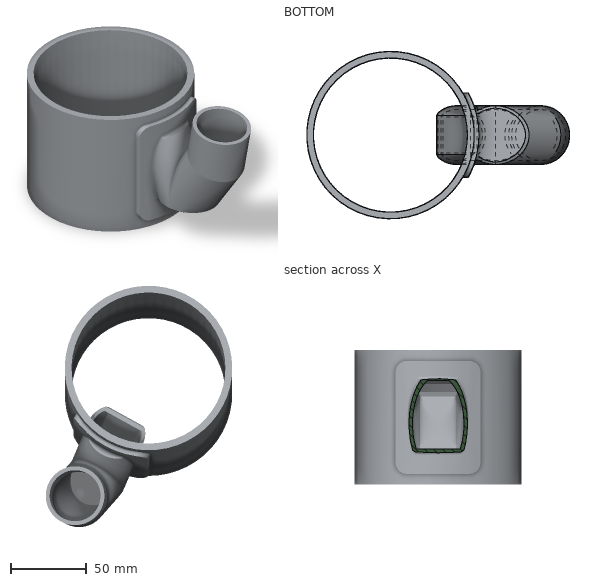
import cadquery as cq
import math

DRUM_RADIUS = 55.33
DRUM_WALL = 4.5
DRUM_HEIGHT = 89.0

SADDLE_THICKNESS = 3.1
SADDLE_WIDTH = 56.0
SADDLE_BOTTOM = 7.1
SADDLE_TOP = 81.6
SADDLE_CORNER = 7.1

PIPE_RADIUS = 19.5
PIPE_WALL = 2.6
LEG_LEAN = math.radians(32.4)
SPOUT_LEAN = math.radians(10)
VALLEY_X = 69.3
VALLEY_AXIS_Z = 24.0
FLOOR_Z = 21.4
FLOOR_CHAMFER = 1.5
SPOUT_END_X = 99.2
SPOUT_END_Z = 92.0

FLAT_OFFSET = 14.6
MOUTH_X = 31.5
MOUTH_Z = 60.0
MOUTH_SLOPE = math.radians(19)
LIP_SLOPE = math.radians(25)
ROOF_Z = 71.4
JOINT_FILLET = 1.5

DRUM_BORE_RADIUS = DRUM_RADIUS - DRUM_WALL
SADDLE_RADIUS = DRUM_RADIUS + SADDLE_THICKNESS
TOLERANCE = 0.002
REACH = 173.7

leg_run = (
    (SPOUT_END_X - VALLEY_X) * math.cos(SPOUT_LEAN)
    - (SPOUT_END_Z - VALLEY_AXIS_Z) * math.sin(SPOUT_LEAN)
) / math.sin(LEG_LEAN - SPOUT_LEAN)
BEND_X = VALLEY_X + leg_run * math.sin(LEG_LEAN)
BEND_Z = VALLEY_AXIS_Z + leg_run * math.cos(LEG_LEAN)
SPOUT_LENGTH = math.hypot(SPOUT_END_X - BEND_X, SPOUT_END_Z - BEND_Z)
MITRE_LEAN = (LEG_LEAN + SPOUT_LEAN) / 2


def tilted_plane(x, z, lean):
    """Plane through (x, 0, z) whose normal leans from +Z toward +X."""
    return cq.Plane(
        origin=(x, 0, z),
        xDir=(math.cos(lean), 0, -math.sin(lean)),
        normal=(math.sin(lean), 0, math.cos(lean)),
    )


def half_space(x, z, lean):
    """Large block on the normal side of a tilted plane."""
    return cq.Workplane(tilted_plane(x, z, lean)).rect(2 * REACH, 2 * REACH).extrude(REACH)


def rod(x, z, lean, radius, before, after):
    """Cylinder through (x, 0, z), running both ways along its axis."""
    return (
        cq.Workplane(tilted_plane(x, z, lean))
        .workplane(offset=-before)
        .circle(radius)
        .extrude(before + after)
    )


def cylinder(radius, bottom, top):
    return cq.Workplane("XY").workplane(offset=bottom).circle(radius).extrude(top - bottom)


def inlet_leg(inset):
    """Leg rising into the drum, flat beneath and ending at the sloping mouth."""
    radius = PIPE_RADIUS - inset
    flat = FLAT_OFFSET - inset
    leg = rod(VALLEY_X, VALLEY_AXIS_Z, -LEG_LEAN, radius, REACH, REACH)
    flat_x = VALLEY_X - flat * math.cos(LEG_LEAN)
    flat_z = VALLEY_AXIS_Z - flat * math.sin(LEG_LEAN)
    leg = leg.intersect(half_space(flat_x, flat_z, math.pi / 2 - LEG_LEAN))
    leg = leg.cut(half_space(VALLEY_X, VALLEY_AXIS_Z, math.pi / 2))
    leg = leg.cut(half_space(MOUTH_X, MOUTH_Z, -MOUTH_SLOPE))
    leg = leg.intersect(half_space(MOUTH_X + inset, MOUTH_Z, math.pi / 2 + LIP_SLOPE))
    roof = half_space(0, ROOF_Z - inset, 0).cut(cylinder(DRUM_BORE_RADIUS, 0, 2 * REACH))
    return leg.cut(roof)


def outlet_leg(inset):
    """Leg rising away from the drum to the upper bend."""
    leg = rod(VALLEY_X, VALLEY_AXIS_Z, LEG_LEAN, PIPE_RADIUS - inset, REACH, REACH)
    leg = leg.intersect(half_space(VALLEY_X, VALLEY_AXIS_Z, math.pi / 2))
    return leg.cut(half_space(BEND_X, BEND_Z, MITRE_LEAN))


def spout(inset):
    """Last pipe section, from the mitred bend to the open end."""
    pipe = rod(BEND_X, BEND_Z, SPOUT_LEAN, PIPE_RADIUS - inset, PIPE_RADIUS, SPOUT_LENGTH)
    return pipe.intersect(half_space(BEND_X, BEND_Z, MITRE_LEAN))


def pipe_volume(inset):
    """Whole pipe as a solid, shrunk by inset on its walls and floor."""
    legs = inlet_leg(inset).union(outlet_leg(inset))
    legs = legs.intersect(half_space(0, FLOOR_Z + inset, 0))
    return legs.union(spout(inset))


def make_saddle():
    height = SADDLE_TOP - SADDLE_BOTTOM
    outline = (
        cq.Workplane("YZ")
        .center(0, SADDLE_BOTTOM + height / 2)
        .rect(SADDLE_WIDTH, height)
        .extrude(REACH)
        .edges("|X")
        .fillet(SADDLE_CORNER)
    )
    shell = cylinder(SADDLE_RADIUS, 0, DRUM_HEIGHT).cut(cylinder(DRUM_RADIUS, 0, DRUM_HEIGHT))
    return shell.intersect(outline)


outer_pipe = pipe_volume(0).faces("<Z").edges().chamfer(FLOOR_CHAMFER)

drum = cylinder(DRUM_RADIUS, 0, DRUM_HEIGHT).cut(cylinder(DRUM_BORE_RADIUS, 0, DRUM_HEIGHT))
drum = drum.cut(outer_pipe)

pipe_fitting = make_saddle().union(outer_pipe)
joint_edges = [
    edge
    for edge in pipe_fitting.edges().vals()
    if all(
        abs(math.hypot(point.x, point.y) - SADDLE_RADIUS) < TOLERANCE
        and abs(point.y) <= PIPE_RADIUS + TOLERANCE
        for point in edge.positions([0, 0.25, 0.5, 0.75, 1])
    )
]
pipe_fitting = pipe_fitting.newObject(joint_edges).fillet(JOINT_FILLET)
pipe_fitting = pipe_fitting.cut(pipe_volume(PIPE_WALL))

result = cq.Compound.makeCompound([drum.val(), pipe_fitting.val()])